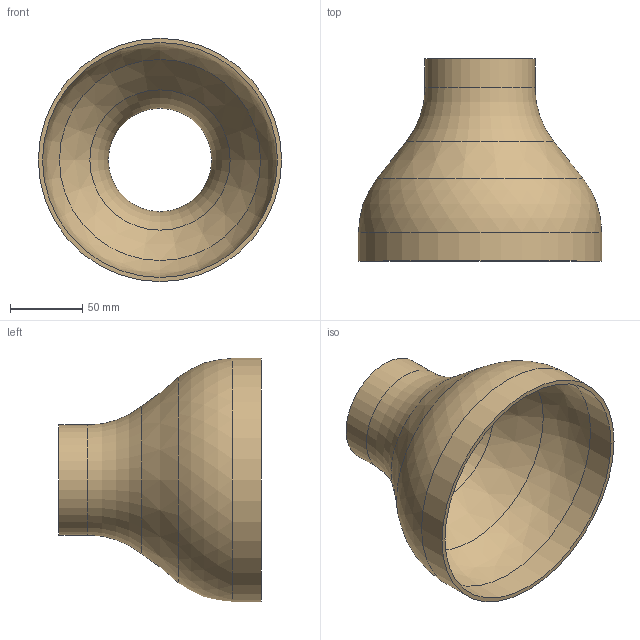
import cadquery as cq
import math

LENGTH = 140.0
COLLAR_LENGTH = 20.0

WIDE_OUTER_RADIUS = 168.3 / 2
WIDE_INNER_RADIUS = 162.5 / 2
NARROW_OUTER_RADIUS = 76.1 / 2
NARROW_INNER_RADIUS = 71.5 / 2

OUTER_BEND_RADIUS = 60.0
WIDE_INNER_BEND_RADIUS = OUTER_BEND_RADIUS - (WIDE_OUTER_RADIUS - WIDE_INNER_RADIUS)
NARROW_INNER_BEND_RADIUS = OUTER_BEND_RADIUS + (NARROW_OUTER_RADIUS - NARROW_INNER_RADIUS)


def revolved_body(wide_radius, wide_bend_radius, narrow_radius, narrow_bend_radius):
    """Solid with collar, convex bend, tangent cone, concave bend and collar."""
    bend_start = COLLAR_LENGTH
    bend_end = LENGTH - COLLAR_LENGTH

    bend_radius_sum = wide_bend_radius + narrow_bend_radius
    run = bend_end - bend_start
    center_offset = bend_radius_sum - (wide_radius - narrow_radius)
    center_distance = math.hypot(run, center_offset)
    cone_angle = math.atan2(run, center_offset) - math.acos(bend_radius_sum / center_distance)

    def wide_bend(turn):
        drop = wide_bend_radius * (1 - math.cos(turn))
        return (wide_radius - drop, bend_start + wide_bend_radius * math.sin(turn))

    def narrow_bend(turn):
        rise = narrow_bend_radius * (1 - math.cos(turn))
        return (narrow_radius + rise, bend_end - narrow_bend_radius * math.sin(turn))

    return (
        cq.Workplane("XY")
        .moveTo(0, 0)
        .lineTo(wide_radius, 0)
        .lineTo(wide_radius, bend_start)
        .threePointArc(wide_bend(cone_angle / 2), wide_bend(cone_angle))
        .lineTo(*narrow_bend(cone_angle))
        .threePointArc(narrow_bend(cone_angle / 2), narrow_bend(0))
        .lineTo(narrow_radius, LENGTH)
        .lineTo(0, LENGTH)
        .close()
        .revolve(360, (0, 0, 0), (0, 1, 0))
    )


outer_body = revolved_body(
    WIDE_OUTER_RADIUS, OUTER_BEND_RADIUS, NARROW_OUTER_RADIUS, OUTER_BEND_RADIUS
)
bore = revolved_body(
    WIDE_INNER_RADIUS, WIDE_INNER_BEND_RADIUS, NARROW_INNER_RADIUS, NARROW_INNER_BEND_RADIUS
)
result = outer_body.cut(bore)